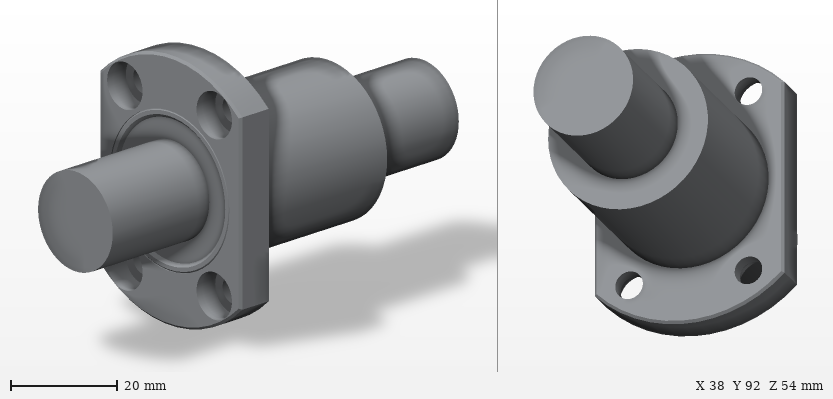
import cadquery as cq

shaft_length = 92.0
shaft_diameter = 20.0
body_diameter = 32.0
body_back_y = 21.0

flange_front_y = -21.0
flange_thickness = 8.0
flange_diameter = 54.0
flange_width = 38.0
flange_chamfer = 0.5

hole_diameter = 5.5
counterbore_diameter = 9.5
counterbore_depth = 5.0
hole_spacing_x = 23.9
hole_spacing_z = 36.1

joint_chamfer = 0.3
recess_mouth_diameter = 29.8
recess_floor_diameter = 28.5
recess_depth = 0.6


def cylinder(diameter, start_y, length):
    """Solid cylinder on the shaft axis, extending towards +Y."""
    plane = cq.Workplane("XZ", origin=(0, start_y, 0))
    return plane.circle(diameter / 2).extrude(-length)


def make_flange():
    """Chamfered disc with flats on both X sides and chamfered flat edges."""
    disc = cylinder(flange_diameter, flange_front_y, flange_thickness)
    flats = cq.Workplane("XY").box(flange_width, shaft_length, flange_diameter)
    return disc.intersect(flats).faces("<Y or >Y").edges().chamfer(flange_chamfer)


def cut_mounting_holes(part):
    """Four counterbored holes, opening on the front face."""
    return (
        cq.Workplane("XZ", origin=(0, flange_front_y, 0))
        .add(part)
        .rarray(hole_spacing_x, hole_spacing_z, 2, 2)
        .cboreHole(hole_diameter, counterbore_diameter, counterbore_depth)
    )


def make_joint_groove():
    """Fine V-groove where the nut body meets the flange face."""
    outer_radius = body_diameter / 2
    return (
        cq.Workplane("XY")
        .moveTo(outer_radius, flange_front_y)
        .lineTo(outer_radius - joint_chamfer, flange_front_y)
        .lineTo(outer_radius, flange_front_y + joint_chamfer)
        .close()
        .revolve(360, (0, 0, 0), (0, 1, 0))
    )


def make_recess():
    """Shallow tapered recess around the shaft at the front mouth."""
    return (
        cq.Workplane("XZ", origin=(0, flange_front_y, 0))
        .circle(recess_mouth_diameter / 2)
        .workplane(offset=-recess_depth)
        .circle(recess_floor_diameter / 2)
        .loft(ruled=True)
    )


flange = make_flange()
body = cylinder(body_diameter, flange_front_y, body_back_y - flange_front_y)
shaft = cylinder(shaft_diameter, -shaft_length / 2, shaft_length)

housing = cut_mounting_holes(flange).union(body)
result = housing.cut(make_joint_groove()).cut(make_recess()).union(shaft)